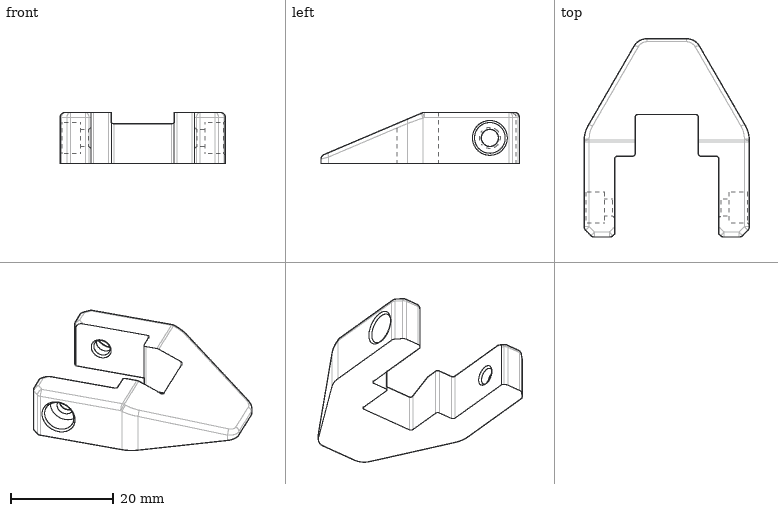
import cadquery as cq
import math

WIDTH = 32.3
LENGTH = 38.79
HEIGHT = 10.0
HALF_WIDTH = WIDTH / 2

RAMP_LENGTH = 20.0
RAMP_ANGLE = 23.0
TAPER_ANGLE = 30.0
NOSE_HALF_WIDTH = 5.56
NOSE_CORNER_RADIUS = 3.0
SHOULDER_RADIUS = 6.0
CREASE_Y = LENGTH - RAMP_LENGTH
NOSE_HEIGHT = HEIGHT - RAMP_LENGTH * math.tan(math.radians(RAMP_ANGLE))
TAPER_START_Y = LENGTH - (HALF_WIDTH - NOSE_HALF_WIDTH) / math.tan(math.radians(TAPER_ANGLE))

LEG_WIDTH = 6.0
SLOT_HALF_WIDTH = HALF_WIDTH - LEG_WIDTH
SLOT_DEPTH = 15.8
NECK_HALF_WIDTH = 6.15
NECK_END_Y = 23.95
SLOT_CORNER_RADIUS = 0.5
OUTER_TIP_CHAMFER = 1.65
INNER_TIP_CHAMFER = 0.65
TIP_CORNER_RADIUS = 1.0

TOP_RADIUS = 1.0

HOLE_Y = 5.8
HOLE_Z = HEIGHT / 2
HOLE_DIAMETER = 3.3
BORE_DIAMETER = 6.0
BORE_DEPTH = 4.0
HOLE_CHAMFER = 0.4

POINT_TOLERANCE = 0.01


def vertical_edges_at(body, points):
    """Vertical edges of the body standing on the given plan points and their mirror images."""
    targets = points + [(-x, y) for x, y in points]

    def stands_on_target(edge):
        centre = edge.Center()
        return any(math.hypot(centre.x - x, centre.y - y) < POINT_TOLERANCE for x, y in targets)

    return body.edges("|Z").filter(stands_on_target)


def make_blank():
    """Flat-topped outer plan with bevelled leg tips, cut by the ramp."""
    nose_corner = (NOSE_HALF_WIDTH, LENGTH)
    shoulder = (HALF_WIDTH, TAPER_START_Y)
    tip_corners = [
        (HALF_WIDTH, OUTER_TIP_CHAMFER),
        (HALF_WIDTH - OUTER_TIP_CHAMFER, 0),
        (SLOT_HALF_WIDTH + INNER_TIP_CHAMFER, 0),
    ]
    inner_tip_corner = (SLOT_HALF_WIDTH, INNER_TIP_CHAMFER)
    slot_corners = [
        (SLOT_HALF_WIDTH, SLOT_DEPTH),
        (NECK_HALF_WIDTH, SLOT_DEPTH),
        (NECK_HALF_WIDTH, NECK_END_Y),
    ]
    right_half = [nose_corner, shoulder] + tip_corners + [inner_tip_corner] + slot_corners
    left_half = [(-x, y) for x, y in reversed(right_half)]
    blank = cq.Workplane("XY").polyline(right_half + left_half).close().extrude(HEIGHT)

    roundings = [
        ([nose_corner], NOSE_CORNER_RADIUS),
        ([shoulder], SHOULDER_RADIUS),
        (tip_corners, TIP_CORNER_RADIUS),
        (slot_corners, SLOT_CORNER_RADIUS),
    ]
    for corners, radius in roundings:
        blank = vertical_edges_at(blank, corners).fillet(radius)

    ramp = (
        cq.Workplane("YZ")
        .polyline([(CREASE_Y, HEIGHT), (LENGTH, NOSE_HEIGHT), (LENGTH, HEIGHT)])
        .close()
        .extrude(HALF_WIDTH, both=True)
    )
    return blank.cut(ramp)


def round_top(body):
    """Round the outer top rim and the crease, leaving the slot edges sharp."""

    def is_outer_top_edge(edge):
        centre = edge.Center()
        along_slot = abs(centre.x) < SLOT_HALF_WIDTH + POINT_TOLERANCE and centre.y > INNER_TIP_CHAMFER
        in_nose_rim = centre.y > NECK_END_Y + POINT_TOLERANCE
        return centre.z > POINT_TOLERANCE and (in_nose_rim or not along_slot)

    return body.edges("not |Z").filter(is_outer_top_edge).fillet(TOP_RADIUS)


def screw_hole_cutter():
    """Stepped hole for the +X leg, revolved about its axis and bored from the outer face."""
    hole_radius = HOLE_DIAMETER / 2
    bore_radius = BORE_DIAMETER / 2
    bore_floor = HALF_WIDTH - BORE_DEPTH
    profile = [
        (SLOT_HALF_WIDTH, 0),
        (SLOT_HALF_WIDTH, hole_radius + HOLE_CHAMFER),
        (SLOT_HALF_WIDTH + HOLE_CHAMFER, hole_radius),
        (bore_floor, hole_radius),
        (bore_floor, bore_radius),
        (HALF_WIDTH - HOLE_CHAMFER, bore_radius),
        (HALF_WIDTH, bore_radius + HOLE_CHAMFER),
        (HALF_WIDTH, 0),
    ]
    cutter = cq.Workplane("XY").polyline(profile).close().revolve(360, (0, 0), (1, 0))
    return cutter.translate((0, HOLE_Y, HOLE_Z))


right_hole = screw_hole_cutter()
left_hole = right_hole.mirror("YZ")
result = round_top(make_blank()).cut(right_hole).cut(left_hole)